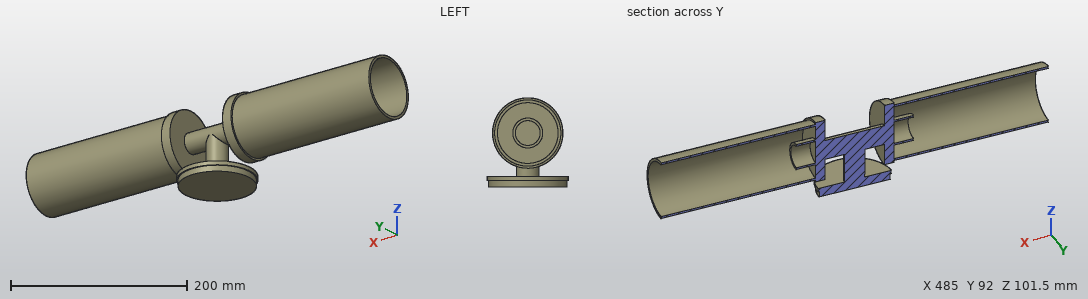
import cadquery as cq

overall_length = 485.0
overall_height = 101.5
collar_diameter = 80.0
axis_height = overall_height - collar_diameter / 2

cover_diameter = 92.0
cover_thickness = 5.0
lower_disc_diameter = 89.5
lower_disc_thickness = 7.5

bar_diameter = 25.5

collar_spacing = 74.0
collar_thickness = 12.0
tube_outer_diameter = 75.0
tube_inner_diameter = 69.0

socket_outer_diameter = 34.0
socket_inner_diameter = 28.0
socket_length = 24.5


def make_base():
    """Two stacked discs resting on the XY plane."""
    lower_disc = cq.Workplane("XY").circle(lower_disc_diameter / 2).extrude(lower_disc_thickness)
    cover = (
        cq.Workplane("XY")
        .workplane(offset=lower_disc_thickness)
        .circle(cover_diameter / 2)
        .extrude(cover_thickness)
    )
    return lower_disc.union(cover)


def make_tee():
    """Vertical stem rising to the axis of the crossbar that joins the collars."""
    stem = cq.Workplane("XY").circle(bar_diameter / 2).extrude(axis_height)
    crossbar = (
        cq.Workplane("YZ")
        .center(0, axis_height)
        .circle(bar_diameter / 2)
        .extrude(collar_spacing / 2, both=True)
    )
    return stem.union(crossbar)


def make_arm():
    """Collar, tube and socket ring on the +X side."""
    collar_start = collar_spacing / 2
    collar_end = collar_start + collar_thickness
    tube_length = overall_length / 2 - collar_end

    collar = (
        cq.Workplane("YZ", origin=(collar_start, 0, axis_height))
        .circle(collar_diameter / 2)
        .extrude(collar_thickness)
    )
    collar_face = cq.Workplane("YZ", origin=(collar_end, 0, axis_height))
    tube = (
        collar_face
        .circle(tube_outer_diameter / 2)
        .circle(tube_inner_diameter / 2)
        .extrude(tube_length)
    )
    socket = (
        collar_face
        .circle(socket_outer_diameter / 2)
        .circle(socket_inner_diameter / 2)
        .extrude(socket_length)
    )
    return collar.union(tube).union(socket)


right_arm = make_arm()
left_arm = right_arm.mirror("YZ")
result = make_base().union(make_tee()).union(right_arm).union(left_arm)